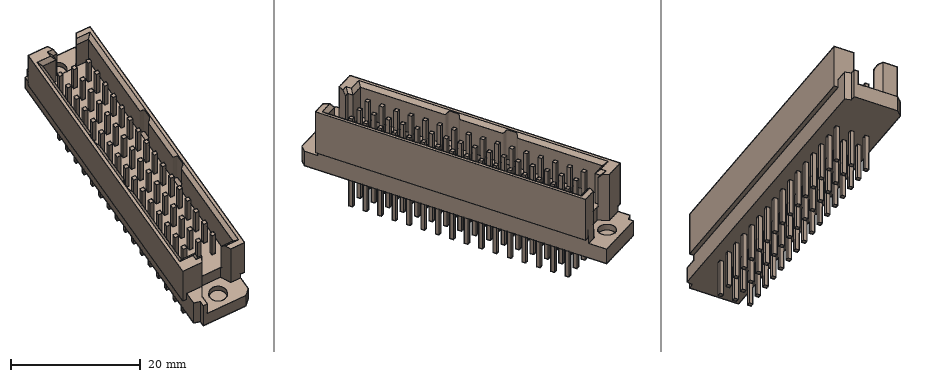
import cadquery as cq


BASE_LENGTH = 54.25
BASE_WIDTH = 9.6
EAR_HEIGHT = 2.75
FLOOR_HEIGHT = 5.25
STEP_DEPTH = 1.05
STEP_END_INSET = 0.9
STEP_FRONT_INSET = 1.2
CORNER_CHAMFER = 1.0

SHROUD_LENGTH = 47.6
SHROUD_WIDTH = 11.0
SHROUD_BOTTOM = 3.75
SHROUD_TOP = 11.5
SIDE_WALL = 1.2
END_WALL = 1.55
CORNER_BLOCK_LENGTH = 0.9
CORNER_BLOCK_Y = -1.95
RIM_CHAMFER = 0.65

NOTCH_Y = 0.5
NOTCH_DEPTH = 1.7
NOTCH_OUTER_WIDTH = 5.1
NOTCH_INNER_WIDTH = 3.35

RECESS_EDGE_Y = -3.05
RECESS_SLANT_LENGTH = 1.6

FOOT_DEPTH = 0.15

HOLE_DIAMETER = 2.9
HOLE_DEPTH = 1.1
HOLE_INSET = 2.45
HOLE_Y = 0.25

GROOVE_SPACING = 10.2
GROOVE_MOUTH_WIDTH = 2.55
GROOVE_BACK_WIDTH = 1.75
GROOVE_DEPTH = 0.55
GROOVE_ROUNDING = 0.4

COLUMNS = 16
COLUMN_SPAN = 38.1
ROWS = 3
ROW_PITCH = 2.55
PIN_SIZE = 0.65
PIN_TOP = 10.2
PIN_BOTTOM = -6.45

BASE_END = BASE_LENGTH / 2
BASE_SIDE = BASE_WIDTH / 2
SHROUD_END = SHROUD_LENGTH / 2
CAVITY_END = SHROUD_END - END_WALL
CAVITY_SIDE = SHROUD_WIDTH / 2 - SIDE_WALL
STEP_Y = STEP_DEPTH - BASE_SIDE
NOTCH_OUTER_LOW = NOTCH_Y - NOTCH_OUTER_WIDTH / 2
NOTCH_OUTER_HIGH = NOTCH_Y + NOTCH_OUTER_WIDTH / 2


def prism(points, bottom, top):
    """Upright solid on a polygon in the XY plane."""
    return cq.Workplane("XY").workplane(offset=bottom).polyline(points).close().extrude(top - bottom)


def make_base():
    outline = [
        (-BASE_END, BASE_SIDE),
        (-BASE_END, STEP_Y),
        (STEP_END_INSET - BASE_END, STEP_Y),
        (STEP_FRONT_INSET - BASE_END, -BASE_SIDE),
        (BASE_END - STEP_FRONT_INSET, -BASE_SIDE),
        (BASE_END - STEP_END_INSET, STEP_Y),
        (BASE_END, STEP_Y),
        (BASE_END, BASE_SIDE - CORNER_CHAMFER),
        (BASE_END - CORNER_CHAMFER, BASE_SIDE),
    ]
    left_ear_space = prism(
        [
            (-BASE_END, -BASE_SIDE),
            (-SHROUD_END, -BASE_SIDE),
            (-SHROUD_END, BASE_SIDE),
            (-BASE_END, BASE_SIDE),
        ],
        EAR_HEIGHT,
        FLOOR_HEIGHT,
    )
    right_ear_recess = prism(
        [
            (SHROUD_END, NOTCH_OUTER_LOW),
            (SHROUD_END + RECESS_SLANT_LENGTH, RECESS_EDGE_Y),
            (BASE_END, RECESS_EDGE_Y),
            (BASE_END, BASE_SIDE),
            (SHROUD_END, BASE_SIDE),
        ],
        EAR_HEIGHT,
        FLOOR_HEIGHT,
    )
    return prism(outline, 0, FLOOR_HEIGHT).cut(left_ear_space).cut(right_ear_recess)


def make_foot():
    """Thin wedge at the bottom of the -X end face, on the +Y side of the notch."""
    length = BASE_SIDE - NOTCH_OUTER_HIGH
    return (
        cq.Workplane("XZ", origin=(0, BASE_SIDE, 0))
        .moveTo(-SHROUD_END, EAR_HEIGHT)
        .lineTo(-SHROUD_END - FOOT_DEPTH, EAR_HEIGHT)
        .lineTo(-SHROUD_END, FLOOR_HEIGHT)
        .close()
        .extrude(length)
    )


def cavity_outline(growth):
    """Corners of the space inside the shroud, with every side moved outward by growth."""
    end_x = CAVITY_END + growth
    block_x = end_x - CORNER_BLOCK_LENGTH
    block_y = CORNER_BLOCK_Y - growth
    side_y = CAVITY_SIDE + growth
    return [
        (-end_x, side_y),
        (-end_x, block_y),
        (-block_x, block_y),
        (-block_x, -side_y),
        (block_x, -side_y),
        (block_x, block_y),
        (end_x, block_y),
        (end_x, side_y),
    ]


def make_cavity():
    """Space inside the shroud, flared at the rim."""
    flare = (
        cq.Workplane("XY")
        .workplane(offset=SHROUD_TOP - RIM_CHAMFER)
        .polyline(cavity_outline(0))
        .close()
        .workplane(offset=RIM_CHAMFER)
        .polyline(cavity_outline(RIM_CHAMFER))
        .close()
        .loft(ruled=True)
    )
    return prism(cavity_outline(0), FLOOR_HEIGHT, SHROUD_TOP).union(flare)


def make_notch(end):
    """Tapered opening in the -X (end = -1) or +X (end = 1) wall."""
    outer_x = end * SHROUD_END
    inner_x = end * (SHROUD_END - NOTCH_DEPTH)
    return prism(
        [
            (outer_x, NOTCH_OUTER_LOW),
            (inner_x, NOTCH_Y - NOTCH_INNER_WIDTH / 2),
            (inner_x, NOTCH_Y + NOTCH_INNER_WIDTH / 2),
            (outer_x, NOTCH_OUTER_HIGH),
        ],
        EAR_HEIGHT,
        SHROUD_TOP,
    )


def make_groove(x, side):
    """Groove in the -Y (side = -1) or +Y (side = 1) wall, with rounded flanks and a ramp at the floor."""
    inside_y = side * (CAVITY_SIDE - GROOVE_DEPTH)
    mouth_y = side * CAVITY_SIDE
    back_y = side * (CAVITY_SIDE + GROOVE_DEPTH)
    half_clearance = GROOVE_MOUTH_WIDTH
    half_mouth = GROOVE_MOUTH_WIDTH / 2
    half_back = GROOVE_BACK_WIDTH / 2
    channel = prism(
        [
            (x - half_clearance, inside_y),
            (x - half_clearance, mouth_y),
            (x - half_mouth, mouth_y),
            (x - half_back, back_y),
            (x + half_back, back_y),
            (x + half_mouth, mouth_y),
            (x + half_clearance, mouth_y),
            (x + half_clearance, inside_y),
        ],
        FLOOR_HEIGHT,
        SHROUD_TOP,
    )
    flank_middle_y = (mouth_y + back_y) / 2
    flank_corners = cq.selectors.BoxSelector(
        (x - half_mouth - GROOVE_ROUNDING, flank_middle_y - GROOVE_DEPTH, FLOOR_HEIGHT),
        (x + half_mouth + GROOVE_ROUNDING, flank_middle_y + GROOVE_DEPTH, SHROUD_TOP),
    )
    channel = channel.edges("|Z").edges(flank_corners).fillet(GROOVE_ROUNDING)
    ramp = (
        cq.Workplane("YZ", origin=(x, 0, 0))
        .moveTo(mouth_y, FLOOR_HEIGHT)
        .lineTo(back_y, FLOOR_HEIGHT)
        .lineTo(back_y, FLOOR_HEIGHT + GROOVE_DEPTH)
        .close()
        .extrude(half_clearance, both=True)
    )
    return channel.cut(ramp)


def make_pins():
    return (
        cq.Workplane("XY")
        .workplane(offset=PIN_BOTTOM)
        .rarray(COLUMN_SPAN / (COLUMNS - 1), ROW_PITCH, COLUMNS, ROWS)
        .rect(PIN_SIZE, PIN_SIZE)
        .extrude(PIN_TOP - PIN_BOTTOM)
    )


shroud = (
    cq.Workplane("XY")
    .workplane(offset=SHROUD_BOTTOM)
    .rect(SHROUD_LENGTH, SHROUD_WIDTH)
    .extrude(SHROUD_TOP - SHROUD_BOTTOM)
)
housing = make_base().union(shroud).union(make_foot()).cut(make_cavity())

for end in (-1, 1):
    housing = housing.cut(make_notch(end))

for groove_x in (-GROOVE_SPACING / 2, GROOVE_SPACING / 2):
    for side in (-1, 1):
        housing = housing.cut(make_groove(groove_x, side))

hole_x = BASE_END - HOLE_INSET
ear_holes = (
    cq.Workplane("XY")
    .workplane(offset=EAR_HEIGHT - HOLE_DEPTH)
    .pushPoints([(-hole_x, HOLE_Y), (hole_x, HOLE_Y)])
    .circle(HOLE_DIAMETER / 2)
    .extrude(HOLE_DEPTH)
)
housing = housing.cut(ear_holes)

result = housing.union(make_pins())